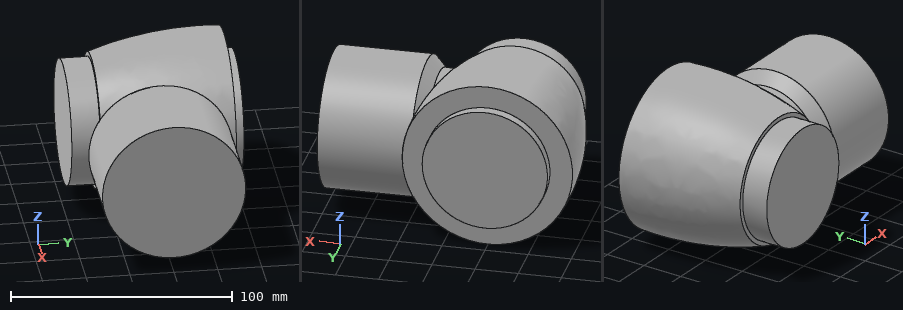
import cadquery as cq

body_radius = 39.7
body_end_radius = 31.1
body_back = 34.1
body_front = -26.4
crown_y = 24.3
shoulder_radius = 36.1
shoulder_y = -8.3
crown_back_radius = 39.4

stub_radius = 29.0
stub_back = 39.1
stub_front = -39.4

neck_radius = 27.1
pipe_radius = 32.7
cone_start = 30.2
cone_length = pipe_radius - neck_radius
overall_length = 118.8
pipe_end = overall_length - body_radius


def make_body():
    """Barrel that swells to its crown and tapers towards the front."""
    profile = (
        cq.Workplane("XY")
        .moveTo(0, body_front)
        .lineTo(body_end_radius, body_front)
        .spline(
            [(shoulder_radius, shoulder_y), (body_radius, crown_y), (crown_back_radius, body_back)],
            includeCurrent=True,
        )
        .lineTo(0, body_back)
        .close()
    )
    return profile.revolve(360, (0, 0), (0, 1))


def make_stubs():
    """One cylinder through the body that stands out at both ends."""
    return (
        cq.Workplane("XZ", origin=(0, stub_back, 0))
        .circle(stub_radius)
        .extrude(stub_back - stub_front)
    )


def make_side_pipe():
    """Neck, cone and pipe revolved around the X axis."""
    profile = (
        cq.Workplane("XY")
        .lineTo(0, neck_radius)
        .lineTo(cone_start, neck_radius)
        .lineTo(cone_start + cone_length, pipe_radius)
        .lineTo(pipe_end, pipe_radius)
        .lineTo(pipe_end, 0)
        .close()
    )
    return profile.revolve(360, (0, 0), (1, 0))


result = make_body().union(make_stubs()).union(make_side_pipe())